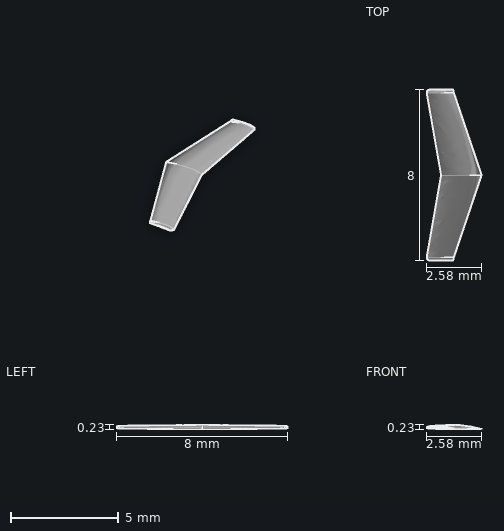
import cadquery as cq
import math

SPAN = 8.0
CAP_WIDTH = 0.16
TIP_STATION = SPAN / 2 - CAP_WIDTH
LENGTH = 2.58
ROOT_CHORD = 1.9
TIP_CHORD = 1.28
TIP_RISE = 0.01

THICKNESS = 0.118
CAMBER = 0.03
CAMBER_PLACE = 0.4
INCIDENCE = 1.5
POINTS_PER_SIDE = 14

CAP_ANGLES = (0, 30, 55, 75)
CAP_NOSE_SETBACK = 0.14
CAP_TAIL_SETBACK = 0.06
CAP_END_THICKNESS = 0.4


def half_thickness(s):
    polynomial = 0.2969 * math.sqrt(s) - 0.126 * s - 0.3516 * s**2 + 0.2843 * s**3 - 0.1036 * s**4
    return 5 * THICKNESS * polynomial


def camber_height(s):
    if s < CAMBER_PLACE:
        return CAMBER / CAMBER_PLACE**2 * (2 * CAMBER_PLACE * s - s**2)
    rear_shape = 1 - 2 * CAMBER_PLACE + 2 * CAMBER_PLACE * s - s**2
    return CAMBER / (1 - CAMBER_PLACE) ** 2 * rear_shape


def airfoil(y, nose_x, chord, nose_z, thickness_scale=1.0):
    """Closed section in the plane at y, run from the tail over the nose and back."""
    slope = math.tan(math.radians(INCIDENCE))
    points = []
    for i in range(-POINTS_PER_SIDE, POINTS_PER_SIDE + 1):
        s = (1 - math.cos(math.pi * i / POINTS_PER_SIDE)) / 2
        side = 1 if i < 0 else -1
        height = camber_height(s) + side * thickness_scale * half_thickness(s)
        points.append(cq.Vector(nose_x + chord * s, y, nose_z + chord * (height - slope * s)))
    return cq.Wire.assembleEdges([cq.Edge.makeSpline(points)])


def cap_section(angle):
    outward = math.sin(math.radians(angle))
    remaining = math.cos(math.radians(angle))
    end_scale = math.cos(math.radians(CAP_ANGLES[-1]))
    progress = (1 - remaining) / (1 - end_scale)
    nose_setback = CAP_NOSE_SETBACK * progress
    tail_setback = CAP_TAIL_SETBACK * progress
    y = TIP_STATION + CAP_WIDTH * outward / math.sin(math.radians(CAP_ANGLES[-1]))
    nose_drop = nose_setback * math.tan(math.radians(INCIDENCE))
    chord = TIP_CHORD - nose_setback - tail_setback
    thickness_scale = 1 - (1 - CAP_END_THICKNESS) * progress
    return airfoil(y, nose_setback, chord, TIP_RISE - nose_drop, thickness_scale)


root = airfoil(0, LENGTH - ROOT_CHORD, ROOT_CHORD, 0)
tip = airfoil(TIP_STATION, 0, TIP_CHORD, TIP_RISE)
panel = cq.Solid.makeLoft([root, tip], True)
cap = cq.Solid.makeLoft([cap_section(angle) for angle in CAP_ANGLES])
half_wing = cq.Workplane(obj=panel).union(cq.Workplane(obj=cap))

result = half_wing.union(half_wing.mirror("XZ"))